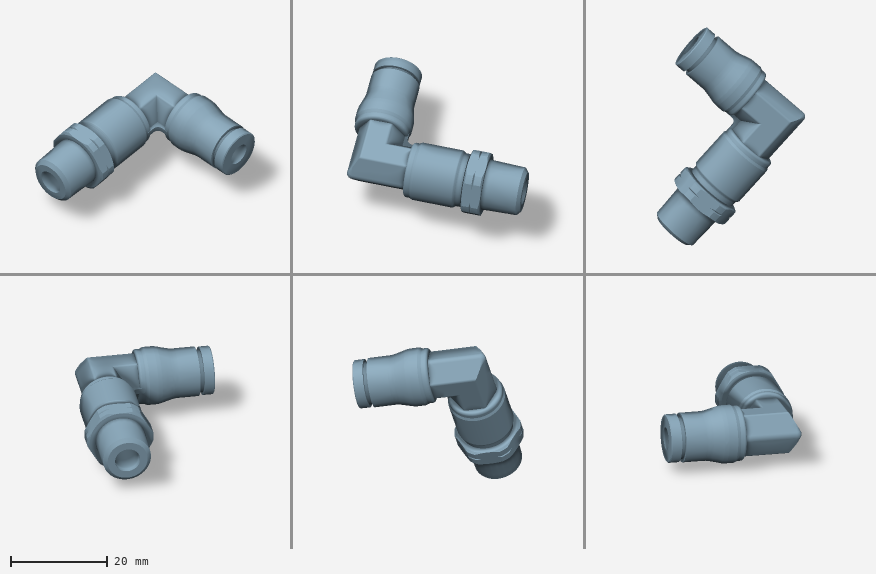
import cadquery as cq
import math

socket_y = 32.3

thread_length = 8.15
thread_end_radius = 5.05
taper = 1 / 32
thread_chamfer_length = 0.73
thread_face_radius = 4.22

hex_across_flats = 13.0
hex_height = 3.95
hex_corner_radius = 7.02
hex_groove_radius = 6.68
hex_chamfer_angle = 30.0
hex_top_y = thread_length + hex_height

neck_radius = 4.95
neck_length = 0.3
ring_radius = 5.6
ring_top_y = 13.6
body_radius = 6.05
body_bottom_y = 14.12
body_top_y = 22.8
body_edge_rounding = 0.3
collar_radius = 5.75
collar_rounding = 0.58
body_collar_y = 23.37
body_end_y = 24.68

socket_start_x = 7.4
socket_cone_x = 8.75
bulge_start_x = 9.45
bulge_end_x = 11.3
shoulder_x = 12.2
shoulder_end_x = 14.5
tube_start_x = 15.9
tube_end_x = 20.3
release_ring_x = 21.2
socket_end_x = 23.4
bulge_radius = 6.05
tube_radius = 5.2
groove_radius = 4.45
release_ring_radius = 5.05
release_ring_chamfer = 0.2

elbow_half_height = 4.5
flank_angle = math.radians(60)
ridge_reach = 4.7
ridge_radius = 1.25
flat_edge_rounding = 0.55
web_half_thickness = 0.58
flank_foot_reach = 5.1
web_reach = 5.8
web_fillet = 1.25
corner_pivot_reach = 3.6
elbow_start_y = 23.6
elbow_end_x = 8.5

mouth_bore_radius = 2.65
stem_bore_radius = 2.38
socket_bore_radius = 2.35
drill_half_angle = math.radians(59)


def revolve_stem(profile):
    """Revolve a closed (radius, Y) profile about the stem axis."""
    return profile.close().revolve(360, (0, 0, 0), (0, 1, 0))


def revolve_socket(profile):
    """Revolve a closed (X, radius) profile, drawn from the socket axis, about that axis."""
    return profile.close().revolve(360, (0, 0, 0), (1, 0, 0))


def round_ring(solid, center, radius):
    """Round the full-circle edge centred at the given point."""
    reach = 0.02
    low = tuple(c - reach for c in center)
    high = tuple(c + reach for c in center)
    return solid.edges(cq.selectors.BoxSelector(low, high)).fillet(radius)


def make_thread():
    root_radius = thread_end_radius + (thread_length - thread_chamfer_length) * taper
    return revolve_stem(
        cq.Workplane("XY").polyline([
            (0, 0),
            (thread_face_radius, 0),
            (thread_end_radius, thread_chamfer_length),
            (root_radius, thread_length),
            (0, thread_length),
        ])
    )


def make_hexagon():
    """Hexagon with turned corners, chamfered faces and a shallow V groove at mid height."""
    slope = math.tan(math.radians(hex_chamfer_angle))
    chamfer = (hex_corner_radius - hex_across_flats / 2) * slope
    groove = (hex_corner_radius - hex_groove_radius) * slope
    mid_y = thread_length + hex_height / 2
    envelope = revolve_stem(
        cq.Workplane("XY").polyline([
            (0, thread_length),
            (hex_across_flats / 2, thread_length),
            (hex_corner_radius, thread_length + chamfer),
            (hex_corner_radius, mid_y - groove),
            (hex_groove_radius, mid_y),
            (hex_corner_radius, mid_y + groove),
            (hex_corner_radius, hex_top_y - chamfer),
            (hex_across_flats / 2, hex_top_y),
            (0, hex_top_y),
        ])
    )
    across_corners = hex_across_flats / math.cos(math.pi / 6)
    prism = (
        cq.Workplane("XZ", origin=(0, thread_length, 0))
        .polygon(6, across_corners)
        .extrude(-hex_height)
    )
    return prism.intersect(envelope)


def make_body():
    neck_top_y = hex_top_y + neck_length
    body = revolve_stem(
        cq.Workplane("XY").polyline([
            (0, hex_top_y),
            (neck_radius, hex_top_y),
            (neck_radius, neck_top_y),
            (ring_radius, neck_top_y),
            (ring_radius, ring_top_y),
            (body_radius, body_bottom_y),
            (body_radius, body_top_y),
            (collar_radius, body_collar_y),
            (collar_radius, body_end_y),
            (0, body_end_y),
        ])
    )
    for cone_end_y in (ring_top_y, body_bottom_y):
        body = round_ring(body, (0, cone_end_y, 0), body_edge_rounding)
    return round_ring(body, (0, body_end_y, 0), collar_rounding)


def make_socket():
    bulge_corner_x = (bulge_end_x + shoulder_x) / 2
    tube_corner_x = (shoulder_end_x + tube_start_x) / 2
    slope = (bulge_radius - tube_radius) / (tube_corner_x - bulge_corner_x)
    shoulder_radius = bulge_radius - (shoulder_x - bulge_corner_x) * slope
    shoulder_end_radius = tube_radius + (tube_corner_x - shoulder_end_x) * slope
    chamfer_x = socket_end_x - release_ring_chamfer

    socket = revolve_socket(
        cq.Workplane("XY", origin=(0, socket_y, 0))
        .moveTo(socket_start_x, 0)
        .lineTo(socket_start_x, collar_radius)
        .lineTo(socket_cone_x, collar_radius)
        .lineTo(bulge_start_x, bulge_radius)
        .lineTo(bulge_end_x, bulge_radius)
        .tangentArcPoint((shoulder_x, shoulder_radius), relative=False)
        .lineTo(shoulder_end_x, shoulder_end_radius)
        .tangentArcPoint((tube_start_x, tube_radius), relative=False)
        .lineTo(tube_end_x, tube_radius)
        .lineTo(tube_end_x, groove_radius)
        .lineTo(release_ring_x, groove_radius)
        .lineTo(release_ring_x, release_ring_radius)
        .lineTo(chamfer_x, release_ring_radius)
        .lineTo(socket_end_x, release_ring_radius - release_ring_chamfer)
        .lineTo(socket_end_x, 0)
    )
    return round_ring(socket, (socket_start_x, socket_y, 0), collar_rounding)


def make_elbow():
    ridge_center = ridge_reach - ridge_radius
    tangent_reach = ridge_center + ridge_radius * math.sin(flank_angle)
    tangent_height = ridge_radius * math.cos(flank_angle)
    flank_slope = math.tan(flank_angle)
    flat_half_width = tangent_reach - (elbow_half_height - tangent_height) / flank_slope

    section = (
        cq.Workplane("XZ", origin=(0, elbow_start_y, 0))
        .moveTo(-tangent_reach, tangent_height)
        .lineTo(-flat_half_width, elbow_half_height)
        .lineTo(flat_half_width, elbow_half_height)
        .lineTo(flank_foot_reach, web_half_thickness)
        .lineTo(web_reach, web_half_thickness)
        .lineTo(web_reach, -web_half_thickness)
        .lineTo(flank_foot_reach, -web_half_thickness)
        .lineTo(flat_half_width, -elbow_half_height)
        .lineTo(-flat_half_width, -elbow_half_height)
        .lineTo(-tangent_reach, -tangent_height)
        .threePointArc((-ridge_reach, 0), (-tangent_reach, tangent_height))
        .close()
    )
    path = cq.Workplane("XY").polyline(
        [(0, elbow_start_y), (0, socket_y), (elbow_end_x, socket_y)]
    )
    elbow = section.sweep(path, transition="right")
    long_flat_edges = elbow.faces(">Z or <Z").edges("(not <Y) and (not >X)")
    elbow = long_flat_edges.fillet(flat_edge_rounding)
    inner_bend = (web_reach, socket_y - web_reach, 0)
    elbow = elbow.edges(cq.selectors.NearestToPointSelector(inner_bend)).fillet(web_fillet)

    pivot = (-corner_pivot_reach, socket_y + corner_pivot_reach, 0)
    pivot_height = tangent_height + (tangent_reach - corner_pivot_reach) * flank_slope
    corner = (
        cq.Workplane("XZ", origin=pivot)
        .moveTo(0, pivot_height)
        .lineTo(corner_pivot_reach - tangent_reach, tangent_height)
        .threePointArc(
            (corner_pivot_reach - ridge_reach, 0),
            (corner_pivot_reach - tangent_reach, -tangent_height),
        )
        .lineTo(0, -pivot_height)
        .close()
        .revolve(360, (0, 0, 0), (0, 1, 0))
    )
    quadrant = (
        cq.Workplane("XY", origin=pivot)
        .rect(-ridge_reach, ridge_reach, centered=False)
        .extrude(elbow_half_height, both=True)
    )
    return elbow.cut(quadrant).union(corner.intersect(quadrant))


def make_bores():
    """Blind bores that meet at the bend, each with a conical drill tip."""
    stem_tip = stem_bore_radius / math.tan(drill_half_angle)
    stem_bore = revolve_stem(
        cq.Workplane("XY").polyline([
            (0, 0),
            (mouth_bore_radius, 0),
            (mouth_bore_radius, hex_top_y),
            (stem_bore_radius, hex_top_y),
            (stem_bore_radius, socket_y),
            (0, socket_y + stem_tip),
        ])
    )
    socket_tip = socket_bore_radius / math.tan(drill_half_angle)
    socket_bore = revolve_socket(
        cq.Workplane("XY", origin=(0, socket_y, 0)).polyline([
            (-socket_tip, 0),
            (0, socket_bore_radius),
            (socket_end_x, socket_bore_radius),
            (socket_end_x, 0),
        ])
    )
    return stem_bore.union(socket_bore)


result = (
    make_thread()
    .union(make_hexagon())
    .union(make_body())
    .union(make_elbow())
    .union(make_socket())
    .cut(make_bores())
)